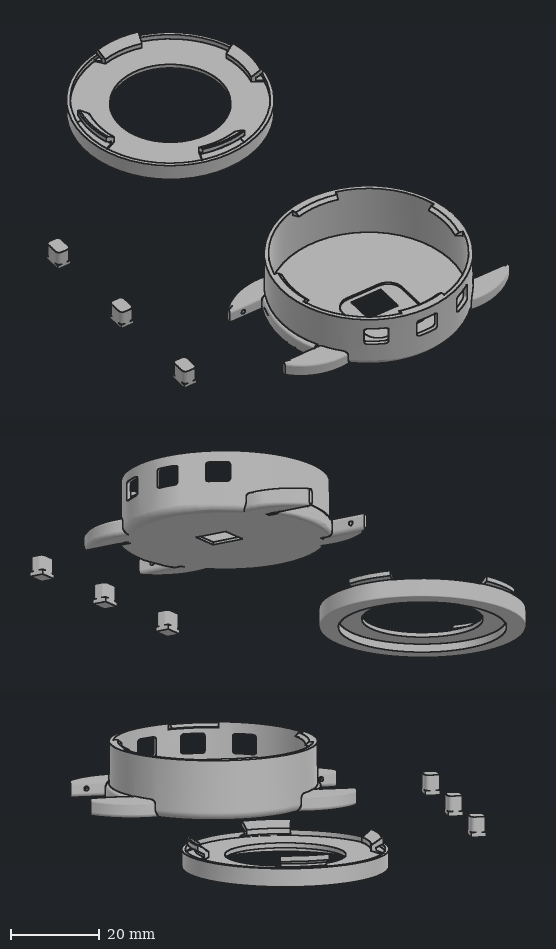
import cadquery as cq
import math

case_diameter = 47.0
case_inner_diameter = 45.0
case_height = 14.0
floor_thickness = 1.1
case_bottom_fillet = 2.0

snap_half_angle = 15.0
snap_angles = (0, 90, 180, 270)
lip_top_radius = 21.6
lip_inner_radius = 20.7
lip_slope_height = 0.8
lip_height = 1.5

pocket_size = 16.1
pocket_corner_radius = 3.8
pocket_depth = 0.5
pocket_center_x = 5.8
window_width = 6.8
window_length = 8.0
window_center_x = 2.4

button_slot_angles = (-30, 0, 30)
button_slot_width = 5.5
button_slot_height = 4.5
button_slot_center_z = 9.1
button_slot_fillet = 0.8

lug_height = 4.3
lug_fillet = 1.1
lug_inner_x = 10.5
lug_outer_x = 16.7
lug_arc_center_y = 19.0
lug_tip_y = 30.7
lug_tip_width = 1.1
collar_radius = 24.3
strap_pin_hole_diameter = 1.0
strap_pin_hole_depth = 2.0
strap_pin_y = 27.0

bezel_center_x = -79.2
bezel_diameter = 46.8
bezel_height = 4.3
bezel_opening_diameter = 27.3
bezel_rim_inner_diameter = 45.0
bezel_bottom_fillet = 0.4
bezel_plate_top = 3.0
bezel_plate_thickness = 1.1
glass_seat_diameter = 37.8

clip_inner_radius = 19.3
clip_top_inner_radius = 21.6
clip_tip_radius = 22.1
clip_neck_radius = 20.5
clip_elbow_bottom_z = 4.0
clip_elbow_top_z = 5.3
clip_neck_bottom_z = 4.2
clip_neck_top_z = 4.8
clip_root_top_z = 3.4
clip_tip_bottom_z = 5.7
clip_top_z = 7.0

button_count = 3
button_pitch = 25.2
last_button_x = -0.3
button_center_y = -50.0
button_width = 4.8
button_depth = 3.5
button_height = 4.7
button_foot_height = 1.1
button_stem_fillet = 1.0


def disc(diameter, bottom_z, height):
    return cq.Workplane("XY").workplane(offset=bottom_z).circle(diameter / 2).extrude(height)


def arc_segment(profile, angle):
    """Revolve a radius-Z profile about Z, centred on the given angle."""
    swept = cq.Workplane("XZ").polyline(profile).close().revolve(2 * snap_half_angle, (0, 0, 0), (0, 1, 0))
    return swept.rotate((0, 0, 0), (0, 0, 1), angle - snap_half_angle)


def make_lug():
    """Lug on the +X +Y side: a tapering horn rounded along its long edges and blunt at its tip."""
    rise = lug_tip_y - lug_arc_center_y
    run = lug_outer_x - lug_inner_x - lug_tip_width
    arc_radius = (rise**2 + run**2) / (2 * run)
    apex_angle = math.acos(1 - (lug_outer_x - lug_inner_x) / arc_radius)
    apex_rise = arc_radius * math.sin(apex_angle)
    horn = (
        cq.Workplane("XY")
        .moveTo(lug_inner_x, lug_arc_center_y - apex_rise)
        .threePointArc((lug_outer_x, lug_arc_center_y), (lug_inner_x, lug_arc_center_y + apex_rise))
        .close()
        .extrude(lug_height)
        .faces("|Z")
        .edges()
        .fillet(lug_fillet)
    )
    tip_trim = cq.Workplane("XY").box(4 * lug_outer_x, 2 * lug_tip_y, 4 * lug_height)
    pin_hole = (
        cq.Workplane("YZ", origin=(lug_inner_x, strap_pin_y, lug_height / 2))
        .circle(strap_pin_hole_diameter / 2)
        .extrude(strap_pin_hole_depth)
    )
    return horn.intersect(tip_trim).cut(pin_hole)


def make_collar():
    """Slab that swells past the case wall between the lugs at both ends."""
    slab = disc(2 * collar_radius, 0, lug_height).edges().fillet(lug_fillet)
    return slab.intersect(cq.Workplane("XY").box(2 * lug_inner_x, 4 * collar_radius, 4 * lug_height))


def make_lip(angle):
    wall_radius = (case_diameter + case_inner_diameter) / 4
    slope_bottom_z = case_height - lip_slope_height
    profile = [
        (wall_radius, case_height),
        (lip_top_radius, case_height),
        (lip_inner_radius, slope_bottom_z),
        (wall_radius, case_height - lip_height),
    ]
    return arc_segment(profile, angle)


def make_button_slot(angle):
    slot = (
        cq.Workplane("XY")
        .box(case_diameter / 2, button_slot_width, button_slot_height)
        .edges("|X")
        .fillet(button_slot_fillet)
        .translate((case_diameter / 2, 0, button_slot_center_z))
    )
    return slot.rotate((0, 0, 0), (0, 0, 1), angle)


def make_case():
    case = disc(case_diameter, 0, case_height).faces("<Z").edges().fillet(case_bottom_fillet)
    case = case.union(make_collar())
    right_lugs = make_lug().union(make_lug().mirror("XZ"))
    case = case.union(right_lugs).union(right_lugs.mirror("YZ"))
    case = case.cut(disc(case_inner_diameter, floor_thickness, case_height))
    for angle in snap_angles:
        case = case.union(make_lip(angle))
    for angle in button_slot_angles:
        case = case.cut(make_button_slot(angle))
    pocket = (
        cq.Workplane("XY")
        .box(pocket_size, pocket_size, 2 * pocket_depth)
        .edges("|Z")
        .fillet(pocket_corner_radius)
        .translate((pocket_center_x, 0, floor_thickness))
    )
    window = cq.Workplane("XY").center(window_center_x, 0).rect(window_width, window_length)
    return case.cut(pocket).cut(window.extrude(floor_thickness))


def make_bezel():
    bezel = disc(bezel_diameter, 0, bezel_height).faces("<Z").edges().fillet(bezel_bottom_fillet)
    bezel = bezel.cut(disc(bezel_rim_inner_diameter, bezel_plate_top, bezel_height))
    bezel = bezel.cut(disc(bezel_opening_diameter, 0, bezel_height))
    bezel = bezel.cut(disc(glass_seat_diameter, 0, bezel_plate_top - bezel_plate_thickness))
    return bezel.translate((bezel_center_x, 0, 0))


def make_clip(angle):
    """Hook that leans in from the foot of the bezel rim, then back out to its tip."""
    foot_radius = bezel_rim_inner_diameter / 2
    profile = [
        (foot_radius, bezel_plate_top),
        (clip_inner_radius, clip_elbow_bottom_z),
        (clip_inner_radius, clip_elbow_top_z),
        (clip_top_inner_radius, clip_top_z),
        (clip_tip_radius, clip_top_z),
        (clip_tip_radius, clip_tip_bottom_z),
        (clip_neck_radius, clip_neck_top_z),
        (clip_neck_radius, clip_neck_bottom_z),
        (foot_radius, clip_root_top_z),
    ]
    return arc_segment(profile, angle).translate((bezel_center_x, 0, 0))


def make_button(center_x):
    foot = cq.Workplane("XY").rect(button_width, button_depth).extrude(button_foot_height)
    stem = (
        cq.Workplane("XY")
        .rect(button_width, button_depth)
        .extrude(button_height)
        .edges("|Z")
        .fillet(button_stem_fillet)
    )
    return foot.union(stem).translate((center_x, button_center_y, 0))


case = make_case()
bezel = make_bezel()
clips = [make_clip(angle) for angle in snap_angles]
buttons = [make_button(last_button_x - i * button_pitch) for i in range(button_count)]

result = cq.Compound.makeCompound(
    [case.val(), bezel.val()] + [clip.val() for clip in clips] + [button.val() for button in buttons]
)